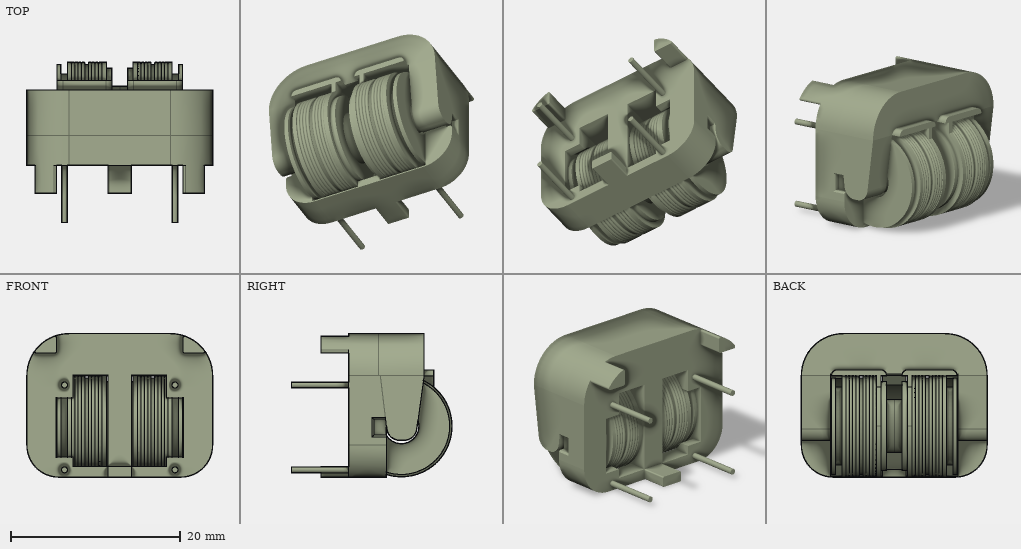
import cadquery as cq


width = 22.0
height = 17.0
top_corner_radius = 5.0
bottom_corner_radius = 3.8

base_lower_depth = 4.47
base_upper_depth = 3.55
core_rear = 8.93
shoulder_z = height - top_corner_radius
core_bottom = 4.35
core_front_at_shoulder = 3.75
core_front_at_bottom = 4.66
core_rear_at_bottom = 7.88
core_bottom_fillet = 1.55
core_window_half_width = 7.55
core_window_top = 12.19
core_bar_radius = 1.7

window_inner = 1.4
window_outer = 5.5
window_bottom = 1.3
window_top = 12.1
side_window_outer = 7.52
side_window_bottom = 2.4
side_window_top = 9.4
center_wall_clearance_radius = 5.41
coil_clearance_radius = 6.15

pocket_front = 2.77
pocket_bottom = 4.77
pocket_top = 7.06
pocket_depth = 0.77
pocket_bevel = 0.2

foot_length = 3.3
corner_foot_inner = 7.48
corner_foot_height = 2.33
corner_foot_fillet = 0.22
center_foot_height = window_bottom
center_foot_fillet = 0.15
pin_diameter = 0.7
pin_length = 6.78
pin_x = 6.53
pin_heights = (0.88, 10.91)

axis_y = 6.23
axis_z = 6.05
coil_radius = 6.0
bore_radius = 2.07
end_flange_outer = 7.44
end_flange_inner = 6.95
end_flange_radius = 5.72
hub_radius = 4.62
winding_flange_outer = 6.2
winding_outer = 5.72
winding_inner = 2.11
divider_width = 0.4
turns_per_section = 4
winding_flange_inner = 1.56
inner_flange_end = 0.92
inner_flange_radius = 5.28
sleeve_radius = 3.15

block_rear = 10.08
block_inner = 0.9
block_top = 12.72
block_bottom = 12.0
block_web_bottom = 9.35
block_corner_radius = 0.7

joint_overlap = 0.45


def box(x_range, y_range, z_range):
    """Box spanning the given X, Y and Z ranges."""
    sizes = [high - low for low, high in (x_range, y_range, z_range)]
    low_corner = (x_range[0], y_range[0], z_range[0])
    return cq.Workplane("XY").box(*sizes, centered=False).translate(low_corner)


def both_sides(shape):
    """The shape together with its mirror image about X = 0."""
    return shape.union(shape.mirror("YZ"))


def rounded_body(y_front, y_rear):
    """Front outline with its rounded corners, extruded from y_front to y_rear."""
    body = box((-width / 2, width / 2), (y_front, y_rear), (0, height))
    body = body.edges("|Y and >Z").fillet(top_corner_radius)
    return body.edges("|Y and <Z").fillet(bottom_corner_radius)


def coil_cylinder(radius, half_length):
    """Cylinder on the coil axis reaching equally far to both sides of the mid-plane."""
    return (
        cq.Workplane("YZ")
        .center(axis_y, axis_z)
        .circle(radius)
        .extrude(half_length, both=True)
    )


def side_profile(points):
    """Profile of (y, z) points extruded across the full width."""
    return cq.Workplane("YZ").polyline(points).close().extrude(width / 2, both=True)


def make_core():
    outline = [
        (base_upper_depth, height),
        (base_upper_depth, shoulder_z),
        (core_front_at_shoulder, shoulder_z),
        (core_front_at_bottom, core_bottom),
        (core_rear_at_bottom, core_bottom),
        (core_rear, shoulder_z),
        (core_rear, height),
    ]
    tapered = side_profile(outline).edges("|X and <Z").fillet(core_bottom_fillet)
    core = rounded_body(0, core_rear).intersect(tapered)
    half_width = core_window_half_width
    core = core.cut(box((-half_width, half_width), (0, core_rear), (0, core_window_top)))
    bar = coil_cylinder(core_bar_radius, half_width + joint_overlap)
    return core.union(bar)


def make_window():
    main = box((window_inner, window_outer), (0, base_lower_depth), (window_bottom, window_top))
    side = box(
        (window_inner, side_window_outer),
        (0, base_lower_depth),
        (side_window_bottom, side_window_top),
    )
    return main.union(side)


def make_pocket():
    """Pocket in the +X face, open to the rear and beveled along its other rims."""
    mouth_length = base_lower_depth + joint_overlap - pocket_front
    mouth_height = pocket_top - pocket_bottom
    inner_length = mouth_length - pocket_bevel
    inner_height = mouth_height - 2 * pocket_bevel
    rim = (
        cq.Workplane("YZ", origin=(width / 2, pocket_front, pocket_bottom))
        .rect(mouth_length, mouth_height, centered=False)
        .workplane(offset=-pocket_bevel)
        .center(pocket_bevel, pocket_bevel)
        .rect(inner_length, inner_height, centered=False)
        .loft(ruled=True)
    )
    recess = box(
        (width / 2 - pocket_depth, width / 2),
        (pocket_front + pocket_bevel, base_lower_depth + joint_overlap),
        (pocket_bottom + pocket_bevel, pocket_top - pocket_bevel),
    )
    return rim.union(recess)


def make_base():
    taper = (core_front_at_bottom - core_front_at_shoulder) / (shoulder_z - core_bottom)
    step_z = shoulder_z - (base_lower_depth - core_front_at_shoulder) / taper
    outline = [
        (0, 0),
        (base_lower_depth, 0),
        (base_lower_depth, step_z),
        (core_front_at_shoulder, shoulder_z),
        (base_upper_depth, shoulder_z),
        (base_upper_depth, height),
        (0, height),
    ]
    base = rounded_body(0, base_lower_depth).intersect(side_profile(outline))
    base = base.cut(both_sides(make_window()))
    base = base.cut(both_sides(make_pocket()))

    center_wall = box((-window_inner, window_inner), (0, base_lower_depth), (0, height))
    clearance = coil_cylinder(coil_clearance_radius, side_window_outer).cut(center_wall)
    return base.cut(clearance).cut(coil_cylinder(center_wall_clearance_radius, window_inner))


def make_corner_feet():
    corner = box(
        (corner_foot_inner, width / 2),
        (-foot_length, 0),
        (height - corner_foot_height, height),
    )
    foot = corner.intersect(rounded_body(-foot_length, 0))
    return both_sides(foot.edges("|Y").fillet(corner_foot_fillet))


def make_center_foot():
    foot = box((-window_inner, window_inner), (-foot_length, 0), (0, center_foot_height))
    return foot.edges("|Y").fillet(center_foot_fillet)


def make_pins():
    spots = [(x, z) for x in (-pin_x, pin_x) for z in pin_heights]
    return cq.Workplane("XZ").pushPoints(spots).circle(pin_diameter / 2).extrude(pin_length)


def make_coil():
    """Bobbin on the -X side with its windings and half of the sleeve that joins the two bobbins."""
    section_width = (winding_outer - winding_inner - divider_width) / 2
    wire_radius = section_width / turns_per_section / 2
    wire_center_radius = coil_radius - wire_radius

    def add_turns(profile, x_start):
        for turn in range(turns_per_section):
            x_middle = x_start + (2 * turn + 1) * wire_radius
            profile = profile.threePointArc(
                (x_middle, coil_radius), (x_middle + wire_radius, wire_center_radius)
            )
        return profile

    divider_start = -winding_outer + section_width
    divider_end = divider_start + divider_width
    profile = (
        cq.Workplane("XY")
        .moveTo(-end_flange_outer, bore_radius)
        .lineTo(-end_flange_outer, end_flange_radius)
        .lineTo(-end_flange_inner, end_flange_radius)
        .lineTo(-end_flange_inner, hub_radius)
        .lineTo(-winding_flange_outer, hub_radius)
        .lineTo(-winding_flange_outer, coil_radius)
        .lineTo(-winding_outer, coil_radius)
        .lineTo(-winding_outer, wire_center_radius)
    )
    profile = add_turns(profile, -winding_outer)
    profile = (
        profile.lineTo(divider_start, end_flange_radius)
        .lineTo(divider_end, end_flange_radius)
        .lineTo(divider_end, wire_center_radius)
    )
    profile = (
        add_turns(profile, divider_end)
        .lineTo(-winding_inner, coil_radius)
        .lineTo(-winding_flange_inner, coil_radius)
        .lineTo(-winding_flange_inner, inner_flange_radius)
        .lineTo(-inner_flange_end, inner_flange_radius)
        .lineTo(-inner_flange_end, sleeve_radius)
        .lineTo(0, sleeve_radius)
        .lineTo(0, bore_radius)
        .close()
    )
    return profile.revolve(360, (0, 0, 0), (1, 0, 0)).translate((0, axis_y, axis_z))


def make_terminal_block():
    y_range = (core_rear - joint_overlap, block_rear)
    block = box((block_inner, end_flange_outer), y_range, (block_bottom, block_top))
    block = block.edges("|Y and >Z").fillet(block_corner_radius)
    web = box(
        (winding_flange_inner, winding_inner),
        y_range,
        (block_web_bottom, block_bottom + joint_overlap),
    )
    return block.union(web)


result = make_base().union(make_corner_feet())
for piece in (
    make_core(),
    both_sides(make_coil()),
    both_sides(make_terminal_block()),
    make_center_foot(),
    make_pins(),
):
    result = result.union(piece, clean=False)